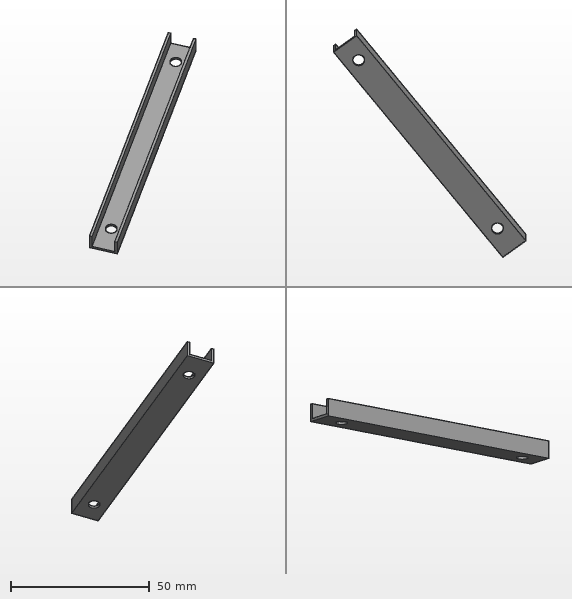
import cadquery as cq

length = 100.0
width = 10.5
height = 6.5
wall = 1.0

hole_diameter = 4.2
front_hole_inset = 10.0
back_hole_inset = 8.0


def make_channel():
    """U-shaped channel running along Y, centred in X and Y, resting on Z = 0."""
    outer = cq.Workplane("XY").box(width, length, height, centered=(True, True, False))
    inner = (
        cq.Workplane("XY", origin=(0, 0, wall))
        .box(width - 2 * wall, length, height - wall, centered=(True, True, False))
    )
    return outer.cut(inner)


def make_floor_holes():
    """Cylinders that pierce the floor, one near each end."""
    front_y = -length / 2 + front_hole_inset
    back_y = length / 2 - back_hole_inset
    return (
        cq.Workplane("XY")
        .pushPoints([(0, front_y), (0, back_y)])
        .circle(hole_diameter / 2)
        .extrude(wall)
    )


result = make_channel().cut(make_floor_holes())